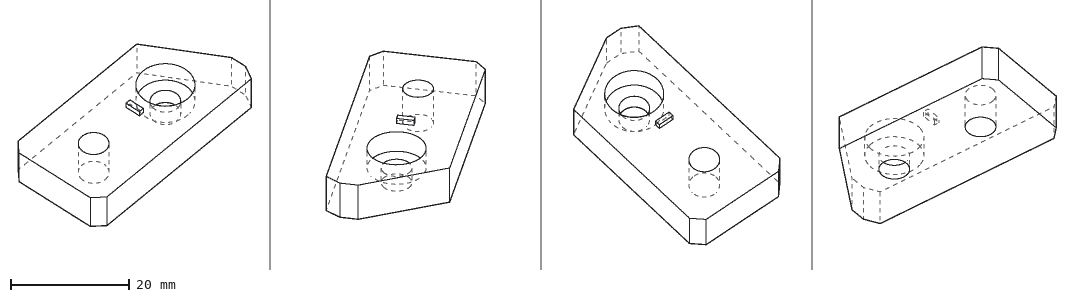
import cadquery as cq
import math

width = 20.0
length = 40.7
total_height = 8.0
key_height = 1.0
block_height = total_height - key_height

front_chamfer = 2.0
back_cut_slope = math.tan(math.radians(30))
left_cut_depth = 8.18
left_cut_width = left_cut_depth / back_cut_slope
right_cut_depth = 1.55
right_cut_width = right_cut_depth / back_cut_slope

hole_diameter = 5.2
front_hole_y = 10.0
hole_spacing = 18.43
back_hole_y = front_hole_y + hole_spacing
counterbore_diameter = 10.0
counterbore_depth = 4.0

key_width = 3.0
key_length = 1.0
key_y = 20.55

center_x = width / 2


def make_block():
    """Plate with chamfered front corners and 30-degree cuts at the back corners."""
    outline = [
        (front_chamfer, 0),
        (width - front_chamfer, 0),
        (width, front_chamfer),
        (width, length - right_cut_depth),
        (width - right_cut_width, length),
        (left_cut_width, length),
        (0, length - left_cut_depth),
        (0, front_chamfer),
    ]
    return cq.Workplane("XY").polyline(outline).close().extrude(block_height)


def top_plane(y):
    """Workplane at the block's top, centred across the width at the given y."""
    return cq.Workplane("XY", origin=(center_x, y, block_height))


def make_cylinder(y, diameter, depth):
    """Round cutter reaching down from the block's top."""
    return top_plane(y).circle(diameter / 2).extrude(-depth)


result = make_block()
for hole_y in (front_hole_y, back_hole_y):
    result = result.cut(make_cylinder(hole_y, hole_diameter, block_height))
result = result.cut(make_cylinder(back_hole_y, counterbore_diameter, counterbore_depth))
result = result.union(top_plane(key_y).rect(key_width, key_length).extrude(key_height))